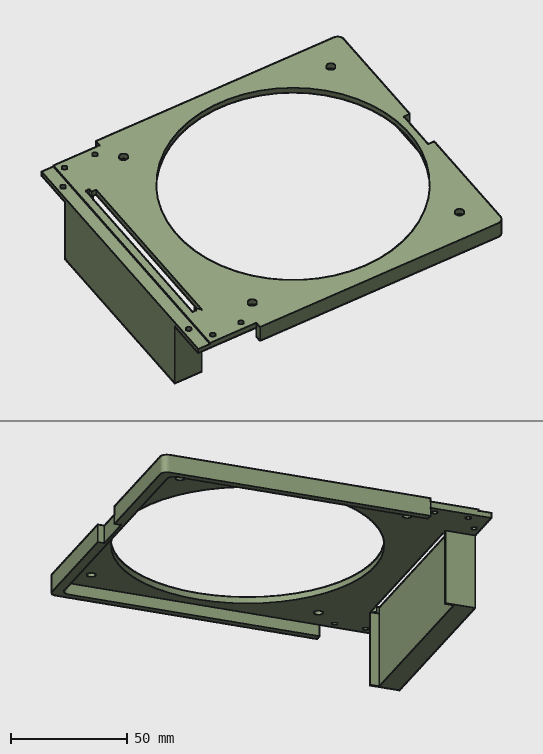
import cadquery as cq

width = 134.0
length = 153.0
total_height = 37.5
plate_thickness = 3.0

rim_height = 8.4
side_rim_thickness = 3.2
back_rim_thickness = 4.5
corner_radius = 3.0
rim_front_y = 29.4

shoulder_width = 3.0
tongue_width = width - 2 * shoulder_width
step_length = 6.0
step_depth = 0.6

opening_diameter = 117.7
opening_y = 87.7
mount_hole_diameter = 4.0
mount_hole_pitch = 105.0
mount_center_y = 86.9

fixing_hole_diameter = 2.5
fixing_hole_points = [
    (-60.3, 24.8),
    (-60.3, 9.3),
    (60.3, 23.9),
    (60.3, 9.6),
    (-51.3, 3.0),
    (51.3, 3.0),
]

notch_width = 19.7
notch_length = 3.0

slot_front_y = 9.6
slot_back_y = 13.8
slot_step_y = 11.5
slot_left_front_x = -43.5
slot_left_back_x = -41.6
slot_right_front_x = 43.8
slot_right_step_x = 42.0
slot_right_back_x = 44.8

block_width = 89.7
block_length = slot_back_y
cheek_thickness = 0.9


def box(x_size, y_min, y_max, z_min, z_max, x_center=0):
    """Box centred on x_center between the given y and z limits."""
    return (
        cq.Workplane("XY")
        .box(x_size, y_max - y_min, z_max - z_min, centered=(True, False, False))
        .translate((x_center, y_min, z_min))
    )


def make_frame():
    """Plate with its rim and tongue."""
    frame = box(width, rim_front_y, length, -rim_height, 0)
    frame = frame.edges("|Z and >Y").fillet(corner_radius)
    inside = box(
        width - 2 * side_rim_thickness,
        rim_front_y,
        length - back_rim_thickness,
        -rim_height,
        -plate_thickness,
    )
    inside = inside.edges("|Z and >Y").fillet(corner_radius)
    tongue = box(tongue_width, 0, rim_front_y, -plate_thickness, 0)
    step = box(tongue_width, 0, step_length, -step_depth, 0)
    return frame.cut(inside).union(tongue).cut(step)


def make_block():
    """Front block with a cheek at each end of its open back."""
    block = box(block_width, 0, slot_front_y, -total_height, -plate_thickness)
    cheek_x = (block_width - cheek_thickness) / 2
    for x_center in (-cheek_x, cheek_x):
        cheek = box(cheek_thickness, 0, block_length, -total_height, -plate_thickness, x_center)
        block = block.union(cheek)
    return block


def through_holes(points, diameter):
    """Round cutters passing down through the plate."""
    return cq.Workplane("XY").pushPoints(points).circle(diameter / 2).extrude(-plate_thickness)


def make_slot():
    """Cutter for the slot through the plate."""
    outline = [
        (slot_left_front_x, slot_front_y),
        (slot_right_front_x, slot_front_y),
        (slot_right_front_x, slot_step_y),
        (slot_right_step_x, slot_step_y),
        (slot_right_back_x, slot_back_y),
        (slot_left_back_x, slot_back_y),
        (slot_left_back_x, slot_step_y),
        (slot_left_front_x, slot_step_y),
    ]
    return cq.Workplane("XY").polyline(outline).close().extrude(-plate_thickness)


half_pitch = mount_hole_pitch / 2
mount_hole_points = [
    (x_sign * half_pitch, mount_center_y + y_sign * half_pitch)
    for x_sign in (-1, 1)
    for y_sign in (-1, 1)
]

result = (
    make_frame()
    .union(make_block())
    .cut(through_holes([(0, opening_y)], opening_diameter))
    .cut(through_holes(mount_hole_points, mount_hole_diameter))
    .cut(through_holes(fixing_hole_points, fixing_hole_diameter))
    .cut(box(notch_width, length - notch_length, length, -rim_height, 0))
    .cut(make_slot())
)